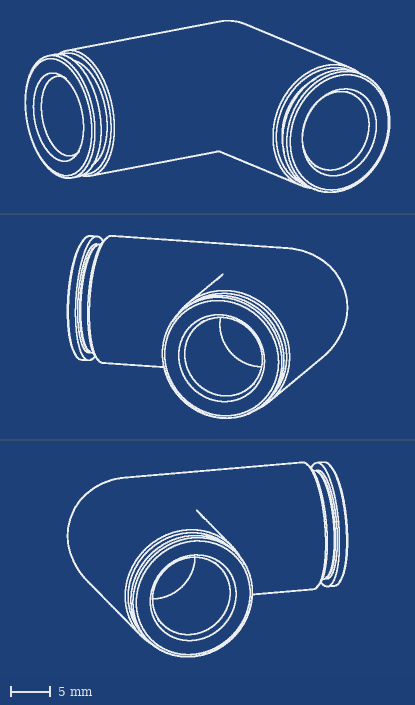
import cadquery as cq
import math

overall_size = 33.3
body_radius = 8.0
leg_length = overall_size - body_radius
outer_corner_radius = 5.0
inner_corner_radius = 0.5

body_end = 22.58
body_chamfer = 0.3
neck_radius = 6.83
flange_radius = 7.8
flange_start = 24.15
flange_chamfer_length = 0.23
flange_chamfer_height = 0.35
neck_groove_depth = 0.2

mouth_radius = 5.6
mouth_chamfer_length = 0.83
bore_radius = 5.05
bore_depth = 16.65
seat_radius = 4.03
seat_length = 0.6
bore_tip_length = 1.53

outer_corner_angle = 135
inner_corner_angle = -45
wedge_sections = 9

X_AXIS = cq.Vector(1, 0, 0)
Y_AXIS = cq.Vector(0, 1, 0)
Z_AXIS = cq.Vector(0, 0, 1)
ORIGIN = cq.Vector(0, 0, 0)


def revolve_about_x(profile):
    """Full turn of a profile of (station, radius) points about the X axis."""
    return cq.Workplane("XY").polyline(profile).close().revolve(360, ORIGIN, X_AXIS)


def leg_on_x():
    """Solid leg along +X: body, neck, small V groove and flange, trimmed to meet the corner wedges."""
    groove_bottom = flange_start - neck_groove_depth
    profile = [
        (-body_radius, 0),
        (-body_radius, body_radius),
        (body_end - body_chamfer, body_radius),
        (body_end, body_radius - body_chamfer),
        (body_end, neck_radius),
        (groove_bottom - neck_groove_depth, neck_radius),
        (groove_bottom, neck_radius - neck_groove_depth),
        (flange_start, neck_radius),
        (flange_start, flange_radius),
        (leg_length - flange_chamfer_length, flange_radius),
        (leg_length, flange_radius - flange_chamfer_height),
        (leg_length, 0),
    ]
    leg = revolve_about_x(profile)
    sector_outline = [
        (0, 0),
        (outer_corner_radius - body_radius, body_radius),
        (leg_length, body_radius),
        (leg_length, -body_radius),
        (body_radius + inner_corner_radius, -body_radius),
    ]
    leg_sector = cq.Workplane("XY").polyline(sector_outline).close().extrude(body_radius, both=True)
    return leg.intersect(leg_sector)


def bore_on_x():
    """Blind bore cut along X: chamfered mouth, straight wall, conical seat and drill tip."""
    seat_start = leg_length - bore_depth
    seat_end = seat_start - seat_length
    profile = [
        (leg_length, 0),
        (leg_length, mouth_radius),
        (leg_length - mouth_chamfer_length, bore_radius),
        (seat_start, bore_radius),
        (seat_end, seat_radius),
        (seat_end - bore_tip_length, 0),
    ]
    return revolve_about_x(profile)


def mirrored_leg(shape):
    """Copy of a +X leg shape on the -Y leg, reflected across the miter plane."""
    return shape.rotate(ORIGIN, Z_AXIS, -90).mirror("YZ")


def half_ellipse(angle, reach):
    """Half ellipse edge about the origin, pole to pole, in the vertical plane at the given angle."""
    arc = cq.Edge.makeEllipse(
        body_radius, reach, ORIGIN, Y_AXIS, Z_AXIS, angle1=0, angle2=180, sense=1
    )
    return arc.rotate(ORIGIN, Z_AXIS, angle)


def corner_wedge(miter_angle, corner_radius, bulge):
    """Rounded wedge about the Z axis that blends the two legs along one half of the miter.

    In the XY plane its outline is an arc tangent to both legs; it fades out at the two poles.
    bulge is 1 for the convex outer corner and -1 for the concave inner corner.
    """
    arc_center_offset = body_radius - bulge * corner_radius
    arc_center_distance = math.sqrt(2) * arc_center_offset
    half_span = abs(45 - math.degrees(math.atan2(arc_center_offset, body_radius)))
    sections = []
    for step in range(wedge_sections):
        turn = half_span * (2 * step / (wedge_sections - 1) - 1)
        along = arc_center_distance * math.cos(math.radians(turn))
        across = arc_center_distance * math.sin(math.radians(turn))
        reach = along + bulge * math.sqrt(corner_radius ** 2 - across ** 2)
        sections.append(half_ellipse(miter_angle + turn, reach))
    blend = cq.occ_impl.shapes.loft(*sections)
    pole_line = cq.Edge.makeLine(Z_AXIS * body_radius, Z_AXIS * -body_radius)
    sides = [
        cq.Face.makeFromWires(cq.Wire.assembleEdges([section, pole_line]))
        for section in (sections[0], sections[-1])
    ]
    return cq.Workplane(cq.occ_impl.shapes.solid(blend, *sides))


leg = leg_on_x()
elbow = (
    leg.union(mirrored_leg(leg))
    .union(corner_wedge(outer_corner_angle, outer_corner_radius, 1))
    .union(corner_wedge(inner_corner_angle, inner_corner_radius, -1))
)
bore = bore_on_x()
result = elbow.cut(bore).cut(mirrored_leg(bore))